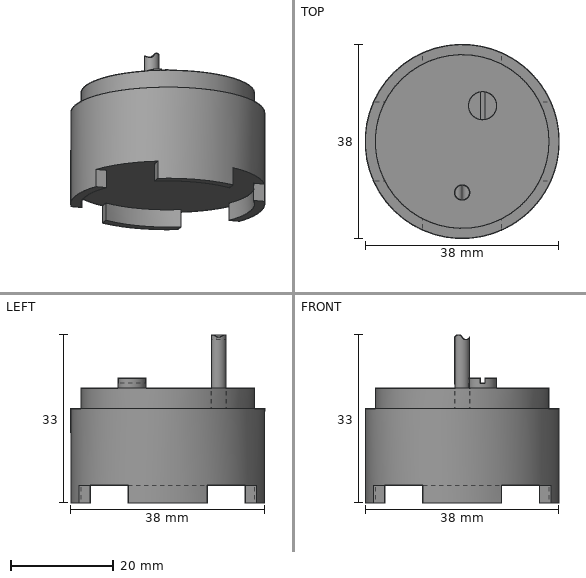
import cadquery as cq

body_diameter = 38.0
body_top = 18.5
disc_diameter = 34.0
disc_top = 22.5

recess_diameter = 34.0
foot_height = 3.5
foot_width = 15.5

screw_diameter = 5.5
screw_height = 2.0
screw_x = 4.0
screw_y = 7.0
slot_width = 0.9
slot_depth = 1.0

pin_diameter = 2.9
pin_hole_diameter = 3.0
pin_hole_depth = disc_top - body_top
pin_x = 0.0
pin_y = -10.0
pin_height = 10.0
wave_height = 0.46


def make_body():
    drum = cq.Workplane("XY").circle(body_diameter / 2).extrude(body_top)
    disc = (
        cq.Workplane("XY")
        .workplane(offset=body_top)
        .circle(disc_diameter / 2)
        .extrude(disc_top - body_top)
    )
    return drum.union(disc)


def cut_feet(body):
    """Recess the underside and notch the rim at the four diagonals."""
    recess = cq.Workplane("XY").circle(recess_diameter / 2).extrude(foot_height)
    notch_side = (body_diameter - foot_width) / 2
    notch_center = (foot_width + notch_side) / 2
    notch_spacing = 2 * notch_center
    notches = (
        cq.Workplane("XY")
        .rarray(notch_spacing, notch_spacing, 2, 2)
        .rect(notch_side, notch_side)
        .extrude(foot_height)
    )
    return body.cut(recess).cut(notches)


def make_screw_head():
    head = (
        cq.Workplane("XY", origin=(screw_x, screw_y, disc_top))
        .circle(screw_diameter / 2)
        .extrude(screw_height)
    )
    slot = (
        cq.Workplane("XY", origin=(screw_x, screw_y, disc_top + screw_height))
        .rect(slot_width, screw_diameter)
        .extrude(-slot_depth)
    )
    return head.cut(slot)


def cut_pin_hole(body):
    hole = (
        cq.Workplane("XY", origin=(pin_x, pin_y, disc_top))
        .circle(pin_hole_diameter / 2)
        .extrude(-pin_hole_depth)
    )
    return body.cut(hole)


def make_pin():
    """Extrude the wavy profile along Y and trim it to the round pin."""
    radius = pin_diameter / 2
    profile = (
        cq.Workplane("XZ", origin=(pin_x, pin_y, disc_top))
        .moveTo(-radius, -pin_hole_depth)
        .lineTo(-radius, pin_height)
        .threePointArc((-radius / 2, pin_height + wave_height), (0, pin_height))
        .threePointArc((radius / 2, pin_height - wave_height), (radius, pin_height))
        .lineTo(radius, -pin_hole_depth)
        .close()
        .extrude(radius, both=True)
    )
    rod = (
        cq.Workplane("XY", origin=(pin_x, pin_y, disc_top - pin_hole_depth))
        .circle(radius)
        .extrude(pin_hole_depth + pin_height + wave_height)
    )
    return rod.intersect(profile)


body = cut_pin_hole(cut_feet(make_body()))
result = body.union(make_screw_head()).union(make_pin())